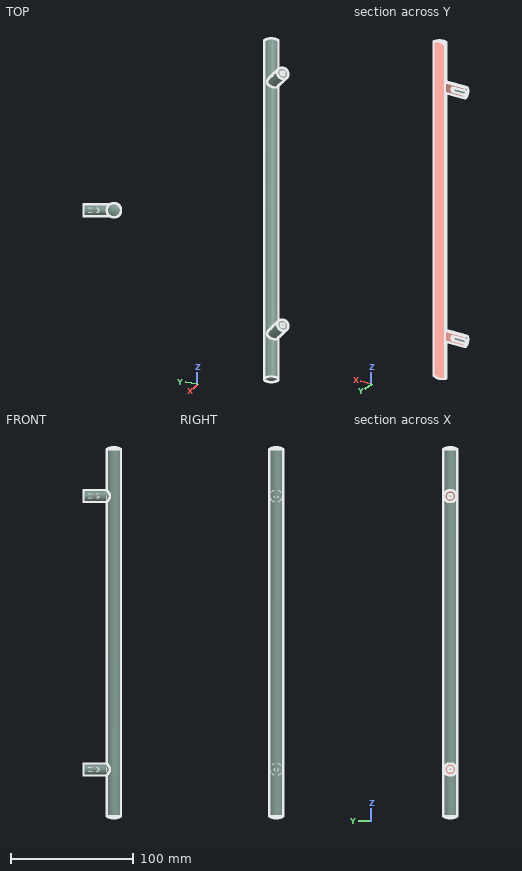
import cadquery as cq

overall_length = 304.0
overall_depth = 31.0
bar_diameter = 12.0
dome_height = 1.8
bar_radius = bar_diameter / 2

post_diameter = 10.0
post_spacing = 223.7
post_end_x = bar_radius - overall_depth

screw_hole_diameter = 3.3
screw_hole_depth = 12.2
drill_point_depth = 1.0
screw_hole_radius = screw_hole_diameter / 2


def make_bar():
    """Revolve the half outline of the bar about the Z axis."""
    tip_z = overall_length / 2
    shoulder_z = tip_z - dome_height

    dome_radius = (bar_radius**2 + dome_height**2) / (2 * dome_height)
    mid_x = bar_radius / 2
    mid_z = tip_z - dome_radius + (dome_radius**2 - mid_x**2) ** 0.5

    return (
        cq.Workplane("XZ")
        .moveTo(0, -tip_z)
        .threePointArc((mid_x, -mid_z), (bar_radius, -shoulder_z))
        .lineTo(bar_radius, shoulder_z)
        .threePointArc((mid_x, mid_z), (0, tip_z))
        .close()
        .revolve(360, (0, 0), (0, 1))
    )


def make_screw_hole(center_z):
    """Tool shape for the screw hole, revolved about the post's axis."""
    shoulder_x = post_end_x + screw_hole_depth
    return (
        cq.Workplane("XZ", origin=(0, 0, center_z))
        .moveTo(post_end_x, 0)
        .lineTo(post_end_x, screw_hole_radius)
        .lineTo(shoulder_x, screw_hole_radius)
        .lineTo(shoulder_x + drill_point_depth, 0)
        .close()
        .revolve(360, (0, 0), (1, 0))
    )


def make_post(center_z, bar):
    """Post along X whose inner end is shaped to fit the bar."""
    blank = (
        cq.Workplane("YZ", origin=(post_end_x, 0, center_z))
        .circle(post_diameter / 2)
        .extrude(-post_end_x)
    )
    return blank.cut(bar).cut(make_screw_hole(center_z))


bar = make_bar()
posts = [make_post(side * post_spacing / 2, bar) for side in (-1, 1)]

result = cq.Compound.makeCompound([bar.val(), *[post.val().Solids()[0] for post in posts]])